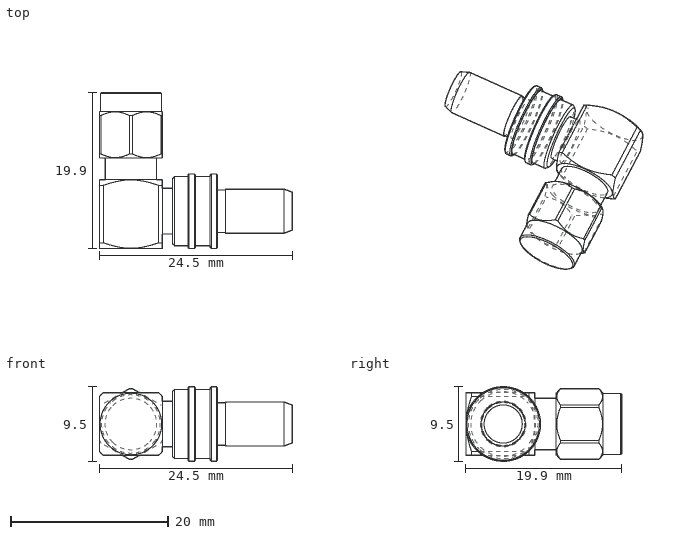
import cadquery as cq
import math


across_flats = 7.99
half_width = across_flats / 2
end_face_radius = 3.92

total_length = 24.5
total_depth = 19.85
collar_ring_radius = 4.75

body_back = -collar_ring_radius
body_front = 4.02
nut_start = 6.74
nut_end = 12.7
sleeve_end = body_back + total_depth

body_corner_radius = 5.32
body_chamfer_length = 0.74
nut_corner_radius = 4.5
nut_chamfer_length = 0.55
nut_neck_radius = 3.28
sleeve_radius = 3.9
sleeve_chamfer = 0.17

collar_start = 5.27
collar_end = 11.0
first_ring_start = 7.23
first_ring_width = 0.98
second_ring_width = 0.93
shank_step = 12.03
shank_taper_start = 19.45
shank_end = total_length - half_width

collar_neck_radius = 2.92
collar_radius = 4.4
collar_chamfer = 0.3
ring_chamfer = 0.15
shank_root_radius = 2.72
shank_radius = 2.82
shank_tip_radius = 2.43


def cylinder_x(radius, start, end):
    return cq.Workplane("YZ", origin=(start, 0, 0)).circle(radius).extrude(end - start)


def cylinder_y(radius, start, end):
    return cq.Workplane("XZ", origin=(0, start, 0)).circle(radius).extrude(start - end)


def round_corners(prism, start, end, corner_radius, chamfer_length):
    """Trim a prism along Y with a turned envelope that is coned at both ends."""
    envelope = cylinder_y(corner_radius, start, end).faces("<Y or >Y").chamfer(
        chamfer_length, corner_radius - end_face_radius
    )
    return prism.intersect(envelope)


def square_body():
    block = cq.Workplane("XZ", origin=(0, body_back, 0)).rect(across_flats, across_flats)
    block = block.extrude(body_back - body_front)
    return round_corners(block, body_back, body_front, body_corner_radius, body_chamfer_length)


def hex_nut():
    hex_diameter = across_flats / math.cos(math.radians(30))
    prism = cq.Workplane("XZ", origin=(0, nut_start, 0)).polygon(6, hex_diameter)
    prism = prism.extrude(nut_start - nut_end).rotate((0, 0, 0), (0, 1, 0), 30)
    return round_corners(prism, nut_start, nut_end, nut_corner_radius, nut_chamfer_length)


def coupling_side():
    neck = cylinder_y(nut_neck_radius, 0, nut_start)
    sleeve = cylinder_y(sleeve_radius, nut_start, sleeve_end).faces(">Y").chamfer(sleeve_chamfer)
    return neck.union(hex_nut()).union(sleeve)


def collar():
    barrel = cylinder_x(collar_radius, collar_start, collar_end).faces("<X").chamfer(collar_chamfer)
    rings = (
        (first_ring_start, first_ring_width),
        (collar_end - second_ring_width, second_ring_width),
    )
    for start, width in rings:
        ring = cylinder_x(collar_ring_radius, start, start + width)
        barrel = barrel.union(ring.faces("<X or >X").chamfer(ring_chamfer))
    return barrel


def shank():
    root = cylinder_x(shank_root_radius, collar_end, shank_step)
    tube = cylinder_x(shank_radius, shank_step, shank_end)
    tube = tube.faces(">X").chamfer(shank_end - shank_taper_start, shank_radius - shank_tip_radius)
    return root.union(tube)


cable_neck = cylinder_x(collar_neck_radius, 0, collar_start)
cable_side = cable_neck.union(collar()).union(shank())
result = square_body().union(coupling_side()).union(cable_side)